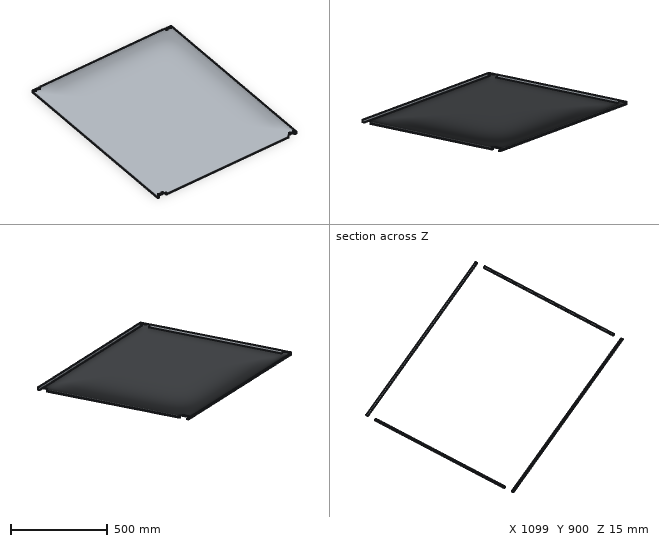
import cadquery as cq

length = 1099.0
width = 900.0
height = 15.0

thickness = 1.9
bend_radius = 3.8
lip_depth = 12.0
corner_relief = 55.0
corner_setback = 4.0

corner_holes = [
    (13.0, 12.0, 9.0),
    (11.0, 26.0, 5.0),
    (13.0, 37.0, 10.0),
]

side_flange_length = width - 2 * corner_relief
sheet_length = length - 2 * corner_setback


def folded_channel(plane, span, run):
    """C-shaped sheet of the given span, with rounded folds and inward lips, centred on its run."""
    fold_edges = "|Y" if plane == "XZ" else "|X"

    def rounded_bar(inset, radius):
        return (
            cq.Workplane(plane)
            .center(0, -height / 2)
            .rect(span - 2 * inset, height - 2 * inset)
            .extrude(run / 2, both=True)
            .edges(fold_edges)
            .fillet(radius)
        )

    mouth = (
        cq.Workplane(plane)
        .center(0, -height / 2 - thickness)
        .rect(span - 2 * lip_depth, height)
        .extrude(run / 2, both=True)
    )
    hollow = rounded_bar(thickness, bend_radius - thickness)
    return rounded_bar(0, bend_radius).cut(hollow).cut(mouth)


end_folds = folded_channel("YZ", width, sheet_length)
side_folds = folded_channel("XZ", length, side_flange_length)
panel = end_folds.union(side_folds)

for inset_x, inset_y, diameter in corner_holes:
    panel = panel.cut(
        cq.Workplane("XY")
        .rect(length - 2 * inset_x, width - 2 * inset_y, forConstruction=True)
        .vertices()
        .circle(diameter / 2)
        .extrude(-2 * thickness)
    )

result = panel